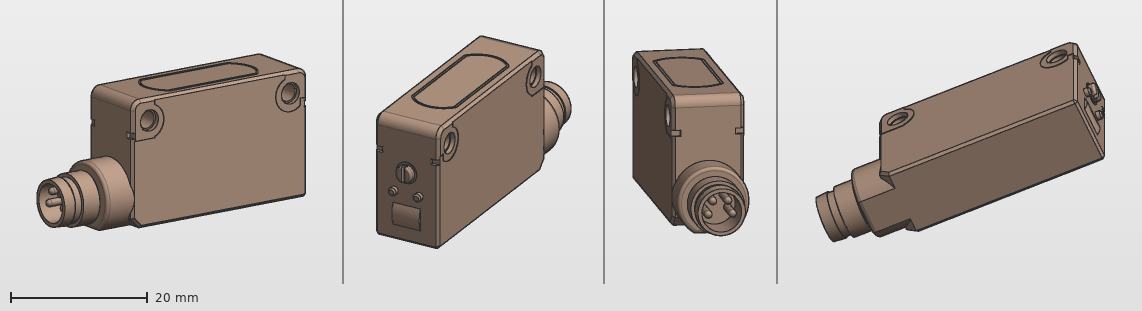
import cadquery as cq
import math


overall_length = 43.45

housing_length = 31.6
housing_height = 19.5
full_width = 10.8
side_recess = 0.1
main_width = full_width - 2 * side_recess
edge_chamfer = 0.5
top_corner_radius = 1.55
front_bottom_chamfer = 1.5
rear_bottom_chamfer = 0.4

hole_diameter = 2.7
counterbore_diameter = 3.2
counterbore_depth = 0.75
hole_z = 16.1
front_hole_y = 3.1
rear_hole_y = 28.45
pad_radius = 2.6
pad_center_drop = 0.17
pad_center_z = hole_z - pad_center_drop
pad_bottom_z = pad_center_z - pad_radius
front_pad_edge_y = 4.1
rear_pad_edge_y = 27.5
rear_pad_step_y = 30.25
rear_pad_step_z = 15.08

notch_depth = edge_chamfer
notch_reach = 1.35
notch_bottom_z = 13.65
notch_height = 0.9

window_straight = 15.65
window_width = 7.5
window_end_radius = 4.8
groove_width = 0.4
groove_depth = 0.1

plug_z = 4.55
boss_radius = main_width / 2
boss_length = 4.48
boss_root = 2.17
boss_fillet = 0.5
neck_radius = 3.48
ring_radius = 4.0
ring_start = 4.8
ring_end = 7.75
rim_start = 8.95
rim_radius = 3.65
tip_radius = 3.5
rim_land = 0.05
plug_length = 10.78
bore_radius = 2.95
bore_depth = 5.2

pin_radius = 0.55
pin_circle_radius = 1.85
pin_angles = (-15, 53, 127, 195)
pin_tip_setback = 0.5
pin_tip_flat = 0.005
pin_embed = 0.45

stud_embed = 0.45
knob_collar_height = 0.15
knob_z = 11.35
knob_radius = 1.4
knob_height = overall_length - plug_length - housing_length
knob_edge_fillet = 0.4
knob_collar_radius = 1.7
slot_width = 0.55
slot_depth = 0.75
lamp_x = 2.1
lamp_z = 8.0
lamp_radius = 0.65
lamp_height = 0.9
lamp_edge_chamfer = 0.25
button_z = 4.2
button_width = 4.6
button_chord = 3.55
button_rise = 0.4


def box(x_range, y_range, z_range):
    """Axis-aligned block between pairs of limits."""
    sizes = [high - low for low, high in (x_range, y_range, z_range)]
    corner = (x_range[0], y_range[0], z_range[0])
    return cq.Workplane("XY").box(*sizes, centered=False).translate(corner)


def x_cylinder(radius, y, z, length):
    """Cylinder along X, centred on the mid-plane."""
    return cq.Workplane("YZ").center(y, z).circle(radius).extrude(length / 2, both=True)


def rear_disc(radius, x, z, height):
    """Round stud standing on the rear face; it starts inside the housing to fuse with it."""
    plane = cq.Workplane("XZ", origin=(x, housing_length - stud_embed, z))
    return plane.circle(radius).extrude(-(height + stud_embed))


def housing_block():
    """Full-width block with its profile corners shaped and its side edges chamfered."""
    block = box((-full_width / 2, full_width / 2), (0, housing_length), (0, housing_height))
    block = block.edges("|X and >Z").fillet(top_corner_radius)
    block = block.edges("|X and <Z and <Y").chamfer(front_bottom_chamfer)
    block = block.edges("|X and <Z and >Y").chamfer(rear_bottom_chamfer)
    return block.faces("<X or >X").chamfer(edge_chamfer)


def pad_region():
    """Prism across the full width that covers the pads around both holes."""
    front = x_cylinder(pad_radius, front_hole_y, pad_center_z, full_width)
    side = (-full_width / 2, full_width / 2)
    front = front.union(box(side, (0, front_pad_edge_y), (pad_bottom_z, housing_height)))
    rear = x_cylinder(pad_radius, rear_hole_y, pad_center_z, full_width)
    rear = rear.cut(box(side, (rear_pad_step_y, housing_length), (0, rear_pad_step_z)))
    rear = rear.union(box(side, (rear_pad_edge_y, housing_length), (rear_pad_step_z, housing_height)))
    return front.union(rear)


def housing():
    """Housing whose sides are recessed everywhere but on the pads."""
    block = housing_block()
    core = block.intersect(box((-main_width / 2, main_width / 2), (0, housing_length), (0, housing_height)))
    return core.union(block.intersect(pad_region()))


def mounting_holes():
    """Through holes along X, counterbored from both sides."""
    cutter = cq.Workplane("XY")
    for y in (front_hole_y, rear_hole_y):
        cutter = cutter.add(x_cylinder(hole_diameter / 2, y, hole_z, full_width))
        sleeve = x_cylinder(counterbore_diameter / 2, y, hole_z, full_width)
        web = x_cylinder(counterbore_diameter / 2, y, hole_z, full_width - 2 * counterbore_depth)
        cutter = cutter.add(sleeve.cut(web))
    return cutter.combine()


def corner_notches():
    """Short horizontal notches in the four upright corners."""
    notch_z = (notch_bottom_z, notch_bottom_z + notch_height)
    cutter = cq.Workplane("XY")
    for y_range in ((0, notch_depth), (housing_length - notch_depth, housing_length)):
        for side in (-1, 1):
            x_range = sorted((side * full_width / 2, side * (full_width / 2 - notch_reach)))
            cutter = cutter.add(box(x_range, y_range, notch_z))
    return cutter.combine()


def window_outline(inset):
    """Prism below the top face: straight sides closed by shallow arcs."""
    half_width = window_width / 2 - inset
    half_straight = window_straight / 2
    arc_radius = window_end_radius - inset
    arc_rise = arc_radius - math.sqrt(arc_radius ** 2 - half_width ** 2)
    half_length = half_straight + arc_rise
    return (
        cq.Workplane("XY", origin=(0, housing_length / 2, housing_height - groove_depth))
        .moveTo(-half_width, -half_straight)
        .lineTo(-half_width, half_straight)
        .threePointArc((0, half_length), (half_width, half_straight))
        .lineTo(half_width, -half_straight)
        .threePointArc((0, -half_length), (-half_width, -half_straight))
        .close()
        .extrude(groove_depth)
    )


def plug_disc(radius, start, end):
    """Round section of the plug between two distances ahead of the front face."""
    return cq.Workplane("XZ", origin=(0, -start, plug_z)).circle(radius).extrude(end - start)


def plug():
    """Boss with a flat underside, stepped barrel and hollow tip."""
    boss = plug_disc(boss_radius, -boss_root, boss_length)
    boss = boss.intersect(box((-boss_radius, boss_radius), (-boss_length, boss_root), (0, housing_height)))
    boss = boss.faces("<Y").edges().fillet(boss_fillet)
    rim = plug_disc(rim_radius, rim_start, plug_length)
    rim = rim.faces("<Y").chamfer(plug_length - rim_start - rim_land, rim_radius - tip_radius)
    neck = plug_disc(neck_radius, 0, rim_start)
    ring = plug_disc(ring_radius, ring_start, ring_end)
    body = boss.union(neck).union(ring).union(rim)
    return body.cut(plug_disc(bore_radius, plug_length - bore_depth, plug_length))


def pins():
    """Round-ended contacts standing on the floor of the plug bore."""
    contacts = cq.Workplane("XY")
    floor = plug_length - bore_depth
    for angle in pin_angles:
        x = pin_circle_radius * math.cos(math.radians(angle))
        z = pin_circle_radius * math.sin(math.radians(angle))
        pin = plug_disc(pin_radius, floor - pin_embed, plug_length - pin_tip_setback)
        pin = pin.faces("<Y").edges().fillet(pin_radius - pin_tip_flat)
        contacts = contacts.add(pin.translate((x, 0, z)))
    return contacts.combine()


def knob():
    """Slotted adjuster on a thin collar."""
    body = rear_disc(knob_radius, 0, knob_z, knob_height).faces(">Y").edges().fillet(knob_edge_fillet)
    rear_end = housing_length + knob_height
    slot = box(
        (-slot_width / 2, slot_width / 2),
        (rear_end - slot_depth, rear_end),
        (knob_z - knob_radius, knob_z + knob_radius),
    )
    return body.cut(slot).union(rear_disc(knob_collar_radius, 0, knob_z, knob_collar_height))


def lamp(x):
    """Indicator lamp with a bevelled end."""
    return rear_disc(lamp_radius, x, lamp_z, lamp_height).faces(">Y").chamfer(lamp_edge_chamfer)


def button():
    """Wide push button with a shallow cylindrical crown."""
    bottom = (housing_length, button_z - button_chord / 2)
    crown = (housing_length + button_rise, button_z)
    top = (housing_length, button_z + button_chord / 2)
    return (
        cq.Workplane("YZ")
        .moveTo(*bottom)
        .threePointArc(crown, top)
        .close()
        .extrude(button_width / 2, both=True)
    )


result = housing().cut(mounting_holes()).cut(corner_notches())
result = result.cut(window_outline(0).cut(window_outline(groove_width)))
result = result.union(plug()).union(pins())
result = result.union(knob()).union(lamp(-lamp_x)).union(lamp(lamp_x)).union(button())